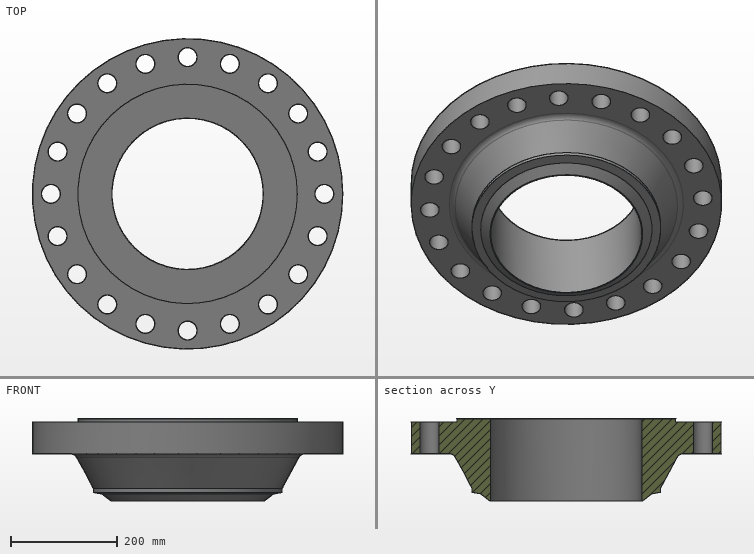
import cadquery as cq
import math


flange_diameter = 584.2
overall_length = 155.57
bore_diameter = 284.18

raised_face_diameter = 412.75
raised_face_height = 6.35
plate_thickness = 60.3

hub_base_diameter = 425.45
neck_diameter = 355.6
neck_straight_length = 7.6
hub_fillet_radius = 12.7

weld_land_width = 1.6
bevel_break_width = 19.05
outer_bevel_angle = 10.0
inner_bevel_angle = 37.5

bolt_count = 20
bolt_circle_diameter = 514.35
bolt_hole_diameter = 34.925

bore_radius = bore_diameter / 2
neck_radius = neck_diameter / 2
land_radius = bore_radius + weld_land_width
break_radius = bore_radius + bevel_break_width

plate_top = -raised_face_height
plate_bottom = plate_top - plate_thickness
weld_end = -overall_length
bevel_break_level = weld_end + (break_radius - land_radius) * math.tan(math.radians(inner_bevel_angle))
neck_bottom = bevel_break_level + (neck_radius - break_radius) * math.tan(math.radians(outer_bevel_angle))
neck_top = neck_bottom + neck_straight_length


def plate():
    """Flange plate with the raised face on top."""
    body = (
        cq.Workplane("XY")
        .workplane(offset=plate_bottom)
        .circle(flange_diameter / 2)
        .extrude(plate_thickness)
    )
    raised_face = (
        cq.Workplane("XY")
        .workplane(offset=plate_top)
        .circle(raised_face_diameter / 2)
        .extrude(raised_face_height)
    )
    return body.union(raised_face)


def hub():
    """Solid hub, neck and weld bevel, revolved about Z."""
    profile = [
        (0, plate_bottom),
        (hub_base_diameter / 2, plate_bottom),
        (neck_radius, neck_top),
        (neck_radius, neck_bottom),
        (break_radius, bevel_break_level),
        (land_radius, weld_end),
        (0, weld_end),
    ]
    return cq.Workplane("XZ").polyline(profile).close().revolve(360, (0, 0, 0), (0, 1, 0))


def fillet_hub_base(body):
    """Round the inside corner where the hub cone meets the plate."""
    hub_base_edge = cq.selectors.RadiusNthSelector(-1)
    corner_circles = body.faces("%CONE").edges("%CIRCLE")
    return corner_circles.edges(hub_base_edge).fillet(hub_fillet_radius)


def bore():
    """Cylinder that clears the pipe bore from end to end."""
    return cq.Workplane("XY").circle(bore_radius).extrude(-overall_length)


def bolt_holes():
    """Ring of through holes in the plate, the first one on the X axis."""
    return (
        cq.Workplane("XY")
        .workplane(offset=plate_bottom)
        .polarArray(bolt_circle_diameter / 2, 0, 360, bolt_count, rotate=False)
        .circle(bolt_hole_diameter / 2)
        .extrude(plate_thickness)
    )


flange = fillet_hub_base(plate().union(hub()))
result = flange.cut(bore()).cut(bolt_holes())